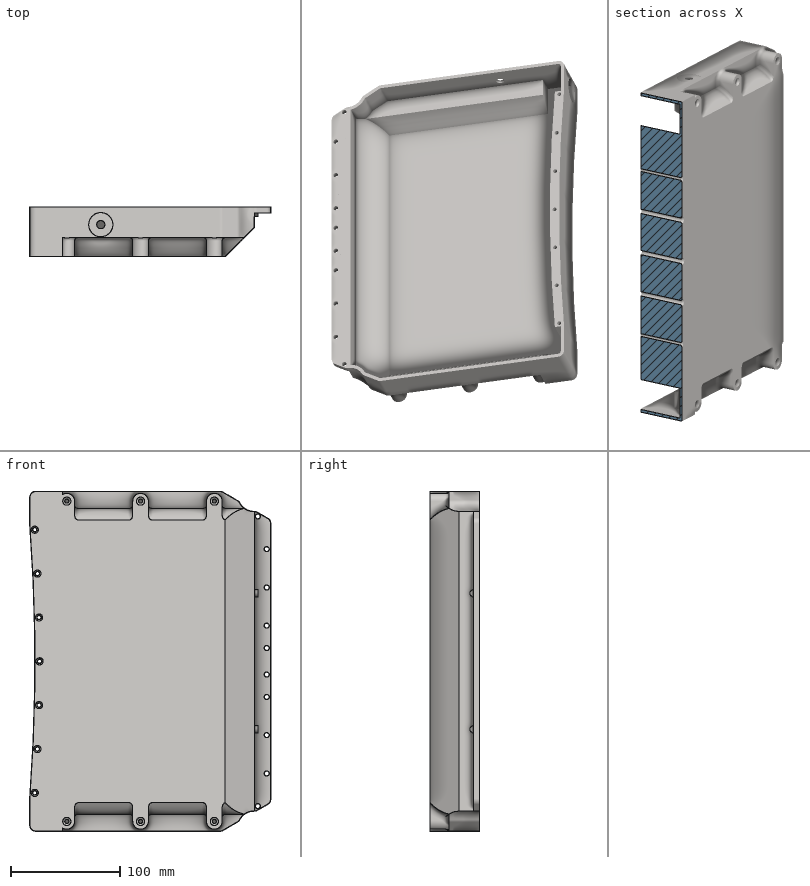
import cadquery as cq
import math


HEIGHT = 310.8
DEPTH = 45.5
LENGTH = 220.3
MID_Z = HEIGHT / 2
FRONT_Y = -DEPTH / 2
BACK_Y = DEPTH / 2
WALL = 3.0
TINY = 0.03
REACH = 31.0

CORNER_RADIUS = 5.5
BOW_HALF = 123.7
BOW_SAG = 4.7
TOP_END_X = 175.3
SHOULDER_X = 191.0
SHOULDER_ANGLE = 30.0
STEEP_ANGLE = 60.0
NECK_RADIUS = 14.3
FLANGE_HALF = 137.0
FLANGE_BEND_X = 206.7

END_WALL_X = 205.5
SLOPE_START_X = 178.7
FLANGE_THICKNESS = 5.5
STUB_DIAMETER = 6.5
STUB_END_X = 208.8
STUB_OFFSET = 62.0

RECESS_START_X = 30.0
RECESS_DEPTH = 17.5
RECESS_FLAT = 15.5
RECESS_WIDTH = 26.0
RAMP_RADIUS = 34.2
BOSS_FIRST_X = 34.0
BOSS_PITCH = 67.5
BOSS_COUNT = 3
BOSS_OFFSET = 146.5
BOSS_RADIUS = 7.0
BOSS_FILLET = 3.0
BOSS_HOLE = 3.7
BOSS_SINK = 7.5
BOSS_HOLE_DEPTH = 12.5

LEFT_HOLE = 3.7
LEFT_SINK = 6.5
LEFT_PITCH = 40.0
LEFT_EACH_SIDE = 3
LEFT_INSET = 4.5
LEFT_PAD = 8.7
FLANGE_HOLE = 4.5
FLANGE_HOLE_X = 216.5
FLANGE_HOLE_OFFSETS = (12.0, 32.5, 67.5, 102.5)
FLANGE_END_HOLE_X = 208.5
FLANGE_END_HOLE_OFFSET = 132.5

SIDE_PORT = 22.5
SIDE_PORT_Y = -3.7
SIDE_PORT_Z = 293.5
TOP_PORT = 7.5
TOP_PORT_X = 65.0
TOP_PORT_Y = 6.5
TOP_SEAT = 22.0
TOP_SEAT_DEPTH = 0.3

FLANGE_FRONT_Y = BACK_Y - FLANGE_THICKNESS
BOSS_XS = [BOSS_FIRST_X + i * BOSS_PITCH for i in range(BOSS_COUNT)]
BOW_RADIUS = (BOW_HALF**2 + BOW_SAG**2) / (2 * BOW_SAG)


def xz_plane(y):
    """Sketch plane with X right, Z up and its origin at mid height."""
    return cq.Workplane(cq.Plane(origin=(0, y, MID_Z), xDir=(1, 0, 0), normal=(0, -1, 0)))


def extrude_y(sketch, length):
    """Extrude an XZ sketch toward +Y."""
    return sketch.extrude(-length)


def bow_x(offset):
    """X of the bowed left side at a height offset from the middle."""
    return BOW_SAG - BOW_RADIUS + math.sqrt(BOW_RADIUS**2 - offset**2)


def both_halves(upper):
    """The solid together with its mirror image below mid height."""
    return upper.union(upper.mirror("XY", (0, 0, MID_Z)))


def round_corners(solid, x, half, radius):
    """Round the two outline corners at X, one above and one below mid height."""
    for z in (MID_Z - half, MID_Z + half):
        nearest = cq.selectors.NearestToPointSelector((x, 0, z))
        solid = solid.edges("|Y").edges(nearest).fillet(radius)
    return solid


def outline_block():
    """Full outline, flange included, over the whole depth."""
    shallow = math.tan(math.radians(SHOULDER_ANGLE))
    steep = math.tan(math.radians(STEEP_ANGLE))
    shoulder = MID_Z - (SHOULDER_X - TOP_END_X) * shallow
    neck_x = SHOULDER_X + (shoulder - FLANGE_HALF) / steep
    tip = FLANGE_HALF - (LENGTH - FLANGE_BEND_X) * shallow
    right_side = [
        (TOP_END_X, MID_Z),
        (SHOULDER_X, shoulder),
        (neck_x, FLANGE_HALF),
        (FLANGE_BEND_X, FLANGE_HALF),
        (LENGTH, tip),
    ]
    sketch = xz_plane(FRONT_Y).moveTo(0, BOW_HALF).lineTo(0, MID_Z)
    for x, z in right_side:
        sketch = sketch.lineTo(x, z)
    for x, z in reversed(right_side):
        sketch = sketch.lineTo(x, -z)
    sketch = sketch.lineTo(0, -MID_Z).lineTo(0, -BOW_HALF)
    sketch = sketch.threePointArc((BOW_SAG, 0), (0, BOW_HALF)).close()
    block = extrude_y(sketch, DEPTH)

    block = round_corners(block, 0, MID_Z, CORNER_RADIUS)
    block = round_corners(block, TOP_END_X, MID_Z, CORNER_RADIUS)
    block = round_corners(block, SHOULDER_X, shoulder, CORNER_RADIUS)
    block = round_corners(block, neck_x, FLANGE_HALF, NECK_RADIUS)
    block = round_corners(block, FLANGE_BEND_X, FLANGE_HALF, CORNER_RADIUS)
    return round_corners(block, LENGTH, tip, CORNER_RADIUS)


def right_end_space(inset, back_y):
    """Space outside the sloped face and end wall, both moved inward by the inset, up to back_y."""
    wall_x = END_WALL_X - inset
    front_x = SLOPE_START_X - inset * math.sqrt(2)
    far_x = LENGTH + REACH
    return (
        cq.Workplane("XY")
        .polyline([
            (front_x - REACH, FRONT_Y - REACH),
            (wall_x, FRONT_Y + wall_x - front_x),
            (wall_x, back_y),
            (far_x, back_y),
            (far_x, FRONT_Y - REACH),
        ])
        .close()
        .extrude(HEIGHT)
    )


def recess_space(inset):
    """Upper recess: flat floor and a curved ramp that runs on straight beyond the front face."""
    floor_y = FRONT_Y + RECESS_DEPTH
    floor_z = HEIGHT - RECESS_FLAT
    front_z = HEIGHT - RECESS_WIDTH
    top_z = HEIGHT + REACH
    drop = floor_z - front_z
    chord = math.hypot(RECESS_DEPTH, drop)
    half_turn = math.asin(chord / (2 * RAMP_RADIUS))
    chord_angle = math.atan2(drop, RECESS_DEPTH)
    bulge = RAMP_RADIUS * (1 - math.cos(half_turn))
    ramp_mid = (
        (floor_y + FRONT_Y) / 2 - bulge * math.sin(chord_angle),
        (floor_z + front_z) / 2 + bulge * math.cos(chord_angle),
    )
    far_y = FRONT_Y - REACH
    far_z = front_z - REACH * math.tan(chord_angle + half_turn)
    start_x = RECESS_START_X - inset
    return (
        cq.Workplane("YZ", origin=(start_x, inset, -inset))
        .moveTo(floor_y, top_z)
        .lineTo(floor_y, floor_z)
        .threePointArc(ramp_mid, (FRONT_Y, front_z))
        .lineTo(far_y, far_z)
        .lineTo(far_y, top_z)
        .close()
        .extrude(LENGTH + REACH - start_x)
    )


def filleted_boss():
    """The second boss: straight sides, round top and a fillet where it meets the recess."""
    x = BOSS_XS[1]
    sketch = (
        xz_plane(FRONT_Y - 2 * REACH)
        .moveTo(x - BOSS_RADIUS, 0)
        .lineTo(x - BOSS_RADIUS, BOSS_OFFSET)
        .threePointArc((x, BOSS_OFFSET + BOSS_RADIUS), (x + BOSS_RADIUS, BOSS_OFFSET))
        .lineTo(x + BOSS_RADIUS, 0)
        .close()
    )
    space = recess_space(0)
    around = space.cut(extrude_y(sketch, 3 * REACH))
    foot = cq.selectors.BoxSelector(
        (x - BOSS_RADIUS - TINY, FRONT_Y - TINY, MID_Z),
        (x + BOSS_RADIUS + TINY, FRONT_Y + RECESS_DEPTH + TINY, HEIGHT),
        boundingbox=True,
    )
    return space.cut(around.edges(foot).fillet(BOSS_FILLET))


def recess_with_bosses():
    """Upper recess with the bosses left standing in it."""
    boss = filleted_boss()
    recess = recess_space(0)
    for x in BOSS_XS:
        recess = recess.cut(boss.translate((x - BOSS_XS[1], 0, 0)))
    return recess


def cavity():
    """Inside of the shell, open at the back, with a thick bowed wall and solid bosses left standing."""
    front_outline = outline_block().faces("<Y").wires().val()
    floor_outline = front_outline.offset2D(-WALL)[0].translate(cq.Vector(0, WALL, 0))
    inner = cq.Workplane(cq.Solid.extrudeLinear(floor_outline, [], cq.Vector(0, DEPTH, 0)))
    pad = extrude_y(
        xz_plane(FRONT_Y)
        .moveTo(0, BOW_HALF)
        .lineTo(LEFT_PAD, BOW_HALF)
        .threePointArc((LEFT_PAD + BOW_SAG, 0), (LEFT_PAD, -BOW_HALF))
        .lineTo(0, -BOW_HALF)
        .close(),
        2 * DEPTH,
    )
    inner = inner.cut(right_end_space(WALL, BACK_Y + REACH))
    inner = inner.cut(both_halves(recess_space(WALL)))
    return inner.cut(pad)


def y_cylinder(x, z, diameter, y_start, length):
    """Round bar along Y, starting at y_start."""
    return extrude_y(xz_plane(y_start).center(x, z - MID_Z).circle(diameter / 2), length)


def sunk_hole(x, z, diameter, sink, depth):
    """Hole from the front face with a 90 degree countersink."""
    sink_depth = (sink - diameter) / 2
    cone = cq.Solid.makeCone(
        sink / 2, diameter / 2, sink_depth, cq.Vector(x, FRONT_Y, z), cq.Vector(0, 1, 0)
    )
    return y_cylinder(x, z, diameter, FRONT_Y, depth).union(cq.Workplane(cone))


def stub(z):
    """Small round stub pointing in X, half sunk in the front face of the flange."""
    start_x = END_WALL_X - WALL
    return (
        cq.Workplane("YZ", origin=(start_x, FLANGE_FRONT_Y, z))
        .circle(STUB_DIAMETER / 2)
        .extrude(STUB_END_X - start_x)
    )


body = outline_block().cut(right_end_space(0, FLANGE_FRONT_Y))
body = body.cut(both_halves(recess_with_bosses()))
for z in (MID_Z - STUB_OFFSET, MID_Z + STUB_OFFSET):
    body = body.union(stub(z))
body = body.cut(cavity())

for x in BOSS_XS:
    for z in (MID_Z - BOSS_OFFSET, MID_Z + BOSS_OFFSET):
        body = body.cut(sunk_hole(x, z, BOSS_HOLE, BOSS_SINK, BOSS_HOLE_DEPTH))

for i in range(-LEFT_EACH_SIDE, LEFT_EACH_SIDE + 1):
    offset = i * LEFT_PITCH
    x = bow_x(offset) + LEFT_INSET
    body = body.cut(sunk_hole(x, MID_Z + offset, LEFT_HOLE, LEFT_SINK, DEPTH))

flange_holes = [(FLANGE_HOLE_X, offset) for offset in FLANGE_HOLE_OFFSETS]
flange_holes.append((FLANGE_END_HOLE_X, FLANGE_END_HOLE_OFFSET))
for x, offset in flange_holes:
    for z in (MID_Z - offset, MID_Z + offset):
        body = body.cut(y_cylinder(x, z, FLANGE_HOLE, FLANGE_FRONT_Y, FLANGE_THICKNESS))

side_port = (
    cq.Workplane("YZ", origin=(0, SIDE_PORT_Y, SIDE_PORT_Z))
    .circle(SIDE_PORT / 2)
    .extrude(2 * WALL)
)
top_plane = cq.Workplane("XY", origin=(TOP_PORT_X, TOP_PORT_Y, HEIGHT))
top_port = top_plane.circle(TOP_PORT / 2).extrude(-2 * WALL)
top_seat = top_plane.circle(TOP_SEAT / 2).extrude(-TOP_SEAT_DEPTH)

result = body.cut(side_port).cut(top_port).cut(top_seat)